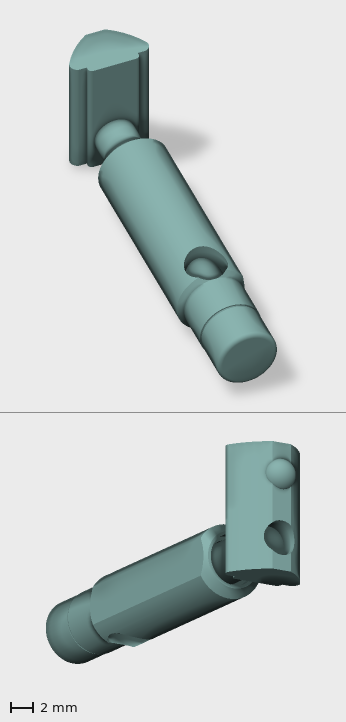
import cadquery as cq
import math

LENGTH = 37.38

NUT_TOP = 8.97
NUT_BOTTOM = -3.05
NUT_FRONT = 1.1
NUT_FRONT_HALF_WIDTH = 0.97
FLANK_MID = (2.35, 2.55)
FLANK_END = (4.07, 3.8)
EAR_MID = (4.75, 3.75)
SHOULDER_X = 5.1
EAR_HALF_WIDTH = 3.3
NUT_BACK = 5.72
NECK_HALF_WIDTH = 2.5
NECK_ROUND = 0.37
BALL_DIAMETER = 3.0
BALL_HEIGHT = 6.0
NUT_HOLE_DIAMETER = 3.25

SLEEVE_START = 9.42
SLEEVE_END = 33.15
SLEEVE_DIAMETER = 7.0
SLEEVE_TAIL_DIAMETER = 6.0
SLEEVE_CHAMFER = 0.8
TAIL_START = 29.35
BORE_DIAMETER = 4.1
MOUTH_DIAMETER = 4.82
MOUTH_DEPTH = 1.0
CROSS_HOLE_DIAMETER = 4.0
CROSS_HOLE_X = 27.35

ROD_DIAMETER = 4.0
TIP_START = 3.35
HEAD_DIAMETER = 5.9
HEAD_ROUND = 0.4
COLLAR_DIAMETER = 5.75
COLLAR_LENGTH = 0.22


def rod_along_x(diameter, start, end):
    """Solid cylinder centred on the X axis."""
    return cq.Workplane("YZ", origin=(start, 0, 0)).circle(diameter / 2).extrude(end - start)


def mirrored(point):
    """The same outline point on the -Y half."""
    return (point[0], -point[1])


def make_nut():
    front = (NUT_FRONT, NUT_FRONT_HALF_WIDTH)
    ear_end = (SHOULDER_X, EAR_HALF_WIDTH)
    neck_root = (SHOULDER_X, NECK_HALF_WIDTH)
    neck_round_start = (NUT_BACK - NECK_ROUND, NECK_HALF_WIDTH)
    round_inset = NECK_ROUND * (1 - math.sqrt(0.5))
    neck_round_mid = (NUT_BACK - round_inset, NECK_HALF_WIDTH - round_inset)
    neck_round_end = (NUT_BACK, NECK_HALF_WIDTH - NECK_ROUND)

    outline = (
        cq.Workplane("XY", origin=(0, 0, NUT_BOTTOM))
        .moveTo(*front)
        .threePointArc(FLANK_MID, FLANK_END)
        .threePointArc(EAR_MID, ear_end)
        .lineTo(*neck_root)
        .lineTo(*neck_round_start)
        .threePointArc(neck_round_mid, neck_round_end)
        .lineTo(*mirrored(neck_round_end))
        .threePointArc(mirrored(neck_round_mid), mirrored(neck_round_start))
        .lineTo(*mirrored(neck_root))
        .lineTo(*mirrored(ear_end))
        .threePointArc(mirrored(EAR_MID), mirrored(FLANK_END))
        .threePointArc(mirrored(FLANK_MID), mirrored(front))
        .close()
    )
    block = outline.extrude(NUT_TOP - NUT_BOTTOM)
    ball = cq.Workplane("XY", origin=(BALL_DIAMETER / 2, 0, BALL_HEIGHT)).sphere(BALL_DIAMETER / 2)
    hole = rod_along_x(NUT_HOLE_DIAMETER, 0, NUT_BACK)
    return block.union(ball).cut(hole)


def make_sleeve():
    tail_chamfer = (SLEEVE_DIAMETER - SLEEVE_TAIL_DIAMETER) / 2
    barrel = rod_along_x(SLEEVE_DIAMETER, SLEEVE_START, TAIL_START)
    barrel = barrel.faces("<X").chamfer(SLEEVE_CHAMFER)
    barrel = barrel.faces(">X").chamfer(tail_chamfer)
    body = barrel.union(rod_along_x(SLEEVE_TAIL_DIAMETER, TAIL_START, SLEEVE_END))

    beyond_flat = (
        cq.Workplane("XY", origin=(0, SLEEVE_TAIL_DIAMETER / 2, 0))
        .box(LENGTH, SLEEVE_DIAMETER, SLEEVE_DIAMETER, centered=(False, False, True))
    )
    body = body.cut(beyond_flat)

    body = body.cut(rod_along_x(BORE_DIAMETER, SLEEVE_START, SLEEVE_END))
    body = body.cut(rod_along_x(MOUTH_DIAMETER, SLEEVE_START, SLEEVE_START + MOUTH_DEPTH))
    cross_hole = (
        cq.Workplane("XY", origin=(CROSS_HOLE_X, 0, 0))
        .circle(CROSS_HOLE_DIAMETER / 2)
        .extrude(SLEEVE_DIAMETER, both=True)
    )
    return body.cut(cross_hole)


def make_screw():
    head_start = SLEEVE_END + COLLAR_LENGTH
    head = rod_along_x(HEAD_DIAMETER, head_start, LENGTH).faces(">X").edges().fillet(HEAD_ROUND)
    collar = rod_along_x(COLLAR_DIAMETER, SLEEVE_END, head_start)
    rod = rod_along_x(ROD_DIAMETER, NUT_BACK, SLEEVE_END)
    tip = rod_along_x(NUT_HOLE_DIAMETER, TIP_START, NUT_BACK)
    return head.union(collar).union(rod).union(tip)


nut = make_nut()
sleeve = make_sleeve()
screw = make_screw()

result = cq.Compound.makeCompound([nut.val(), sleeve.val(), screw.val()])